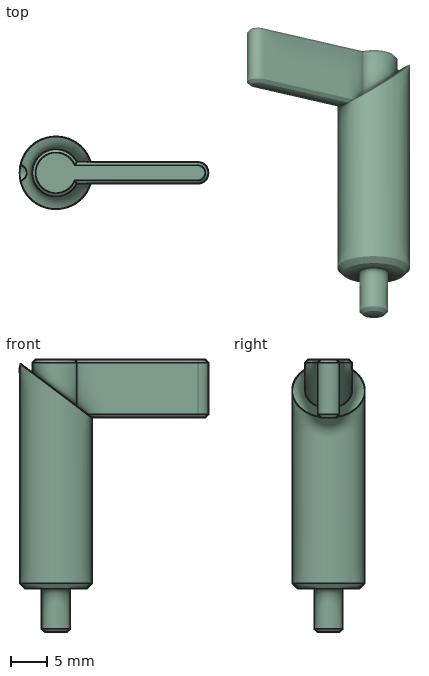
import cadquery as cq
import math

total_height = 37.5
sleeve_bottom = 6.0
sleeve_peak = 37.0
lever_height = 8.0
lever_bottom = total_height - lever_height

sleeve_diameter = 10.0
sleeve_radius = sleeve_diameter / 2
sleeve_chamfer = 0.75
slope_angle = 37.0
slope_drop = sleeve_diameter * math.tan(math.radians(slope_angle))

notch_depth = 0.75
notch_radius = 1.3

pin_diameter = 3.98
pin_chamfer = 0.5
hub_diameter = 6.5
overall_length = 26.0
lever_width = 3.0
lever_reach = overall_length - sleeve_radius
edge_chamfer = 0.45


def make_handle():
    """Plunger pin, hub and round-ended lever in one piece."""
    tip_center = lever_reach - lever_width / 2
    hub = cq.Workplane("XY").workplane(offset=lever_bottom).circle(hub_diameter / 2).extrude(lever_height)
    arm = (
        cq.Workplane("XY")
        .workplane(offset=lever_bottom)
        .moveTo(0, -lever_width / 2)
        .lineTo(tip_center, -lever_width / 2)
        .threePointArc((lever_reach, 0), (tip_center, lever_width / 2))
        .lineTo(0, lever_width / 2)
        .close()
        .extrude(lever_height)
    )
    head = hub.union(arm).faces(">Z or <Z").edges().chamfer(edge_chamfer)
    pin = (
        cq.Workplane("XY")
        .circle(pin_diameter / 2)
        .extrude(lever_bottom)
        .faces("<Z")
        .chamfer(pin_chamfer)
    )
    return head.union(pin).solids()


def cut_slope(body):
    """Slice the top of the sleeve along its inclined plane."""
    waste = (
        cq.Workplane("XZ")
        .moveTo(-sleeve_radius, sleeve_peak)
        .lineTo(sleeve_radius, sleeve_peak - slope_drop)
        .lineTo(sleeve_radius, total_height)
        .lineTo(-sleeve_radius, total_height)
        .close()
        .extrude(sleeve_radius, both=True)
    )
    return body.cut(waste)


def cut_notch(body):
    """Cut the round-bottomed radial notch through the high edge of the slope."""
    notch_axis_height = sleeve_peak - notch_depth + notch_radius
    notch = (
        cq.Workplane("YZ")
        .workplane(offset=-sleeve_radius)
        .center(0, notch_axis_height)
        .circle(notch_radius)
        .extrude(sleeve_radius)
    )
    return body.cut(notch)


def make_sleeve(handle):
    """Slope-topped sleeve with a matching recess for the handle."""
    body = (
        cq.Workplane("XY")
        .workplane(offset=sleeve_bottom)
        .circle(sleeve_radius)
        .extrude(total_height - sleeve_bottom)
        .faces("<Z")
        .chamfer(sleeve_chamfer)
    )
    return cut_notch(cut_slope(body)).cut(handle).solids()


handle = make_handle()
sleeve = make_sleeve(handle)

result = cq.Compound.makeCompound([sleeve.val(), handle.val()])